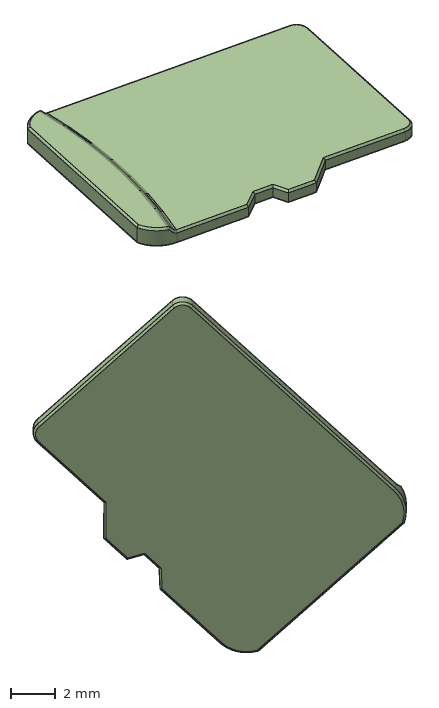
import cadquery as cq
import math

width = 11.01
length = 15.0
lip_height = 1.0
card_thickness = 0.7

left = -width / 2
right = width / 2
front = -length / 2
back = length / 2

rear_corner_radius = 0.65
front_corner_inset = 0.95
front_corner_depth = 1.52
shoulder_step = 1.28
shoulder_start = 8.86
notch_depth = 0.7
notch_rear_outer = 7.38
notch_rear_inner = 7.02
notch_front_inner = 6.08
notch_front_outer = 5.3
edge_chamfer = 0.1

ramp_angle = math.radians(45)
ramp_foot = 2.02
ramp_arc_radius = 27.0
ramp_blend = 0.16


def front_corner_middle(side):
    """Middle of a front corner arc, tangent to the side at side = -1 or 1."""
    radius = (front_corner_inset**2 + front_corner_depth**2) / (2 * front_corner_inset)
    half_angle = math.asin(front_corner_depth / radius) / 2
    x = side * (right - radius + radius * math.cos(half_angle))
    y = front + front_corner_depth - radius * math.sin(half_angle)
    return x, y


def make_blank():
    """Card outline at the full lip height."""
    narrow_right = right - shoulder_step
    notch_floor = right - notch_depth
    corner_end = front + front_corner_depth
    blank = (
        cq.Workplane("XY")
        .moveTo(left + front_corner_inset, front)
        .lineTo(right - front_corner_inset, front)
        .threePointArc(front_corner_middle(1), (right, corner_end))
        .lineTo(right, front + notch_front_outer)
        .lineTo(notch_floor, front + notch_front_inner)
        .lineTo(notch_floor, front + notch_rear_inner)
        .lineTo(right, front + notch_rear_outer)
        .lineTo(right, front + shoulder_start)
        .lineTo(narrow_right, front + shoulder_start + shoulder_step)
        .lineTo(narrow_right, back)
        .lineTo(left, back)
        .lineTo(left, corner_end)
        .threePointArc(front_corner_middle(-1), (left + front_corner_inset, front))
        .close()
        .extrude(lip_height)
    )
    return blank.edges("|Z and >Y").fillet(rear_corner_radius)


def make_ramp_body():
    """Body of revolution with a blended slope between lip and card."""
    slope_run = (lip_height - card_thickness) / math.tan(ramp_angle)
    crest_radius = ramp_arc_radius - slope_run
    rim_radius = ramp_arc_radius + length
    axis_y = front + ramp_foot - ramp_arc_radius

    tangent = ramp_blend * math.tan(ramp_angle / 2)
    tangent_run = tangent * math.cos(ramp_angle)
    tangent_rise = tangent * math.sin(ramp_angle)
    middle_run = ramp_blend * math.sin(ramp_angle / 2)
    middle_rise = ramp_blend * (1 - math.cos(ramp_angle / 2))

    foot_start = ramp_arc_radius + tangent
    crest_end = crest_radius - tangent
    return (
        cq.Workplane("XZ")
        .lineTo(rim_radius, 0)
        .lineTo(rim_radius, card_thickness)
        .lineTo(foot_start, card_thickness)
        .threePointArc(
            (foot_start - middle_run, card_thickness + middle_rise),
            (ramp_arc_radius - tangent_run, card_thickness + tangent_rise),
        )
        .lineTo(crest_radius + tangent_run, lip_height - tangent_rise)
        .threePointArc(
            (crest_end + middle_run, lip_height - middle_rise),
            (crest_end, lip_height),
        )
        .lineTo(0, lip_height)
        .close()
        .revolve(360, (0, 0), (0, 1))
        .translate((0, axis_y, 0))
    )


def chamfer_rims(body):
    """Bevel the upper and lower rims of the upright walls."""
    return body.faces("#Z").edges("not |Z").chamfer(edge_chamfer)


body = make_blank().intersect(make_ramp_body())
result = chamfer_rims(body)